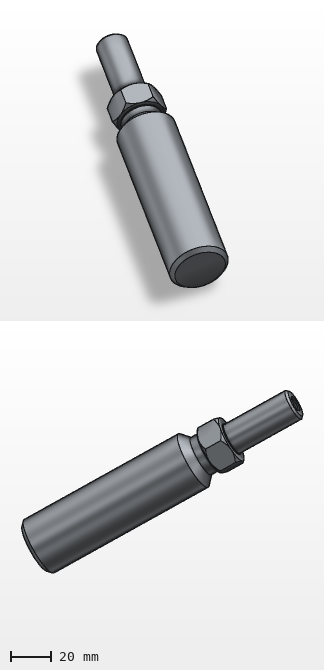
import cadquery as cq
import math

total_length = 149.0
body_diameter = 30.0
body_radius = body_diameter / 2

stud_radius = 8.0
stud_chamfer = 1.2
collar_radius = 8.5
collar_length = 0.5

nut_start = 36.8
nut_length = 12.4
nut_flats = 24.0
nut_face_radius = nut_flats / 2
nut_chamfer_angle = 45.0

neck_radius = 10.5
neck_step_radius = 10.0
neck_step_length = 0.7
neck_end = 54.1
cone_end = 58.5
end_chamfer = 2.1

hole_radius = 3.5
hole_chamfer = 0.6
hole_depth = 22.4
drill_point_angle = 118.0

nut_end = nut_start + nut_length


def revolve_profile(points):
    """Turn (axial position, radius) points about the X axis."""
    return (
        cq.Workplane("XY")
        .polyline(points)
        .close()
        .revolve(360, (0, 0, 0), (1, 0, 0))
    )


def make_turned_handle():
    neck_start = nut_end + neck_step_length
    return revolve_profile([
        (0, 0),
        (0, stud_radius - stud_chamfer),
        (stud_chamfer, stud_radius),
        (nut_start - collar_length, stud_radius),
        (nut_start - collar_length, collar_radius),
        (nut_end, collar_radius),
        (nut_end, neck_step_radius),
        (neck_start, neck_step_radius),
        (neck_start, neck_radius),
        (neck_end, neck_radius),
        (cone_end, body_radius),
        (total_length - end_chamfer, body_radius),
        (total_length, body_radius - end_chamfer),
        (total_length, 0),
    ])


def make_nut():
    """Hexagon with flats facing +Z and -Z, its corners trimmed by a cone at each face."""
    corner_radius = nut_flats / 2 / math.cos(math.pi / 6)
    trim_height = corner_radius - nut_face_radius
    trim_length = trim_height / math.tan(math.radians(nut_chamfer_angle))
    hexagon = (
        cq.Workplane("YZ", origin=(nut_start, 0, 0))
        .polygon(6, 2 * corner_radius)
        .extrude(nut_length)
    )
    envelope = revolve_profile([
        (nut_start, 0),
        (nut_start, nut_face_radius),
        (nut_start + trim_length, corner_radius),
        (nut_end - trim_length, corner_radius),
        (nut_end, nut_face_radius),
        (nut_end, 0),
    ])
    return hexagon.intersect(envelope)


def make_drilled_hole():
    point_length = hole_radius / math.tan(math.radians(drill_point_angle / 2))
    return revolve_profile([
        (0, 0),
        (0, hole_radius + hole_chamfer),
        (hole_chamfer, hole_radius),
        (hole_depth, hole_radius),
        (hole_depth + point_length, 0),
    ])


result = make_turned_handle().union(make_nut()).cut(make_drilled_hole())